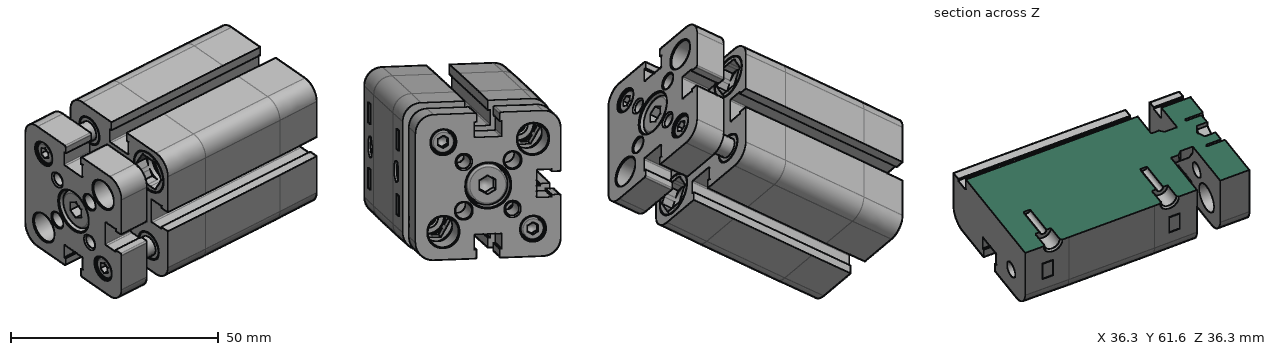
import cadquery as cq
import math


TOTAL_LENGTH = 61.6
PLATE_THICKNESS = 8.1
PLATE_GAP = 6.4
CAP_LENGTH = 11.8
BODY_FRONT = PLATE_THICKNESS + PLATE_GAP
FRONT_SEAM = BODY_FRONT + CAP_LENGTH
REAR_SEAM = TOTAL_LENGTH - CAP_LENGTH

BODY_SIDE = 36.3
BODY_CORNER_RADIUS = 4.55
CAP_DRAFT_ANGLE = 0.44
PLATE_SIDE = 35.65
PLATE_CORNER_RADIUS = 4.45

SLOT_MOUTH_WIDTH = 5.65
SLOT_WIDTH = 6.8
SLOT_FLOOR = 11.9
SLOT_LIP = 15.65
SLOT_FLOOR_RADIUS = 0.3
PLATE_MOUTH_RADIUS = 0.4
SLOT_ANGLES = (-90, 0, 90)

CORNER_SPACING = 22.0
CORNER_OFFSET = CORNER_SPACING / 2
ROD_CENTERS = [(-CORNER_OFFSET, CORNER_OFFSET), (CORNER_OFFSET, -CORNER_OFFSET)]
SCREW_CENTERS = [(CORNER_OFFSET, CORNER_OFFSET), (-CORNER_OFFSET, -CORNER_OFFSET)]
GUIDE_ROD_DIAMETER = 5.05
BUSHING_DIAMETER = 7.6

ACCESS_HOLE_DIAMETER = 7.5
ACCESS_MOUTH_DIAMETER = 8.0
SCREW_HEAD_DIAMETER = 11.1
SCREW_SOCKET_WIDTH = 8.0
SCREW_SOCKET_DEPTH = 3.1
SCREW_BORE_DEPTH = 4.55
SCREW_BORE_DIAMETER = 8.1
SCREW_BORE_FLOOR_DIAMETER = 7.8
SCREW_THROUGH_DIAMETER = 4.1
SCREW_MOUTH_DIAMETER = 5.2

GROOVE_WIDTH = 0.25
GROOVE_DEPTH = 0.5

PISTON_ROD_DIAMETER = 10.05
PISTON_ROD_END = 58.5
WRENCH_FLAT_WIDTH = 8.0
WRENCH_FLAT_LENGTH = 3.3
ROD_TIP_LENGTH = 1.0
ROD_TIP_STEP = 0.55

CENTER_SCREW = dict(
    recess=10.9,
    head=10.0,
    sink=0.75,
    rounding=0.55,
    socket_width=4.0,
    socket_depth=2.8,
)
GUIDE_SCREW = dict(
    recess=6.0,
    head=5.5,
    sink=0.3,
    rounding=0.3,
    socket_width=2.6,
    socket_depth=1.6,
)
SCREWS_IN_PLATE = [dict(CENTER_SCREW, center=(0, 0))] + [
    dict(GUIDE_SCREW, center=center) for center in ROD_CENTERS
]
RECESS_DEPTH = 4.9
RECESS_CHAMFER = 0.25
SOCKET_CONE_HEIGHT_RATIO = 0.3

MOUNT_SPACING = 11.95
MOUNT_OFFSET = MOUNT_SPACING / 2
THREAD_CENTERS = [(-MOUNT_OFFSET, MOUNT_OFFSET), (MOUNT_OFFSET, -MOUNT_OFFSET)]
PIN_CENTERS = [(MOUNT_OFFSET, MOUNT_OFFSET), (-MOUNT_OFFSET, -MOUNT_OFFSET)]
THREAD_DIAMETER = 3.3
THREAD_MOUTH_DIAMETER = 4.1
PIN_DIAMETER = 4.0
PIN_MOUTH_DIAMETER = 4.5

PORT_END_DISTANCE = 7.6
PORT_DIAMETER = 4.2
PORT_MOUTH_DIAMETER = 5.25
PORT_DEPTH = 4.9
PORT_FEED_DIAMETER = 1.7
LABEL_END_DISTANCE = 6.2
LABEL_OFFSET = 8.0
LABEL_LENGTH = 2.9
LABEL_HEIGHT = 4.9
LABEL_DEPTH = 0.2

ALONG_X = cq.Vector(1, 0, 0)
ALONG_Y = cq.Vector(0, 1, 0)


def plane_at(y):
    """XZ sketch plane at the given Y, with its normal toward +Y; its local X is reversed."""
    return cq.Workplane(cq.Plane(origin=(0, y, 0), xDir=(-1, 0, 0), normal=(0, 1, 0)))


def cone(center, y, length, front_diameter, back_diameter):
    """Round frustum along Y, starting at y and running toward +Y."""
    x, z = center
    start = cq.Vector(x, y, z)
    return cq.Workplane(
        cq.Solid.makeCone(front_diameter / 2, back_diameter / 2, length, start, ALONG_Y)
    )


def rod(center, y, length, diameter):
    """Cylinder along Y, starting at y and running toward +Y."""
    x, z = center
    return cq.Workplane(cq.Solid.makeCylinder(diameter / 2, length, cq.Vector(x, y, z), ALONG_Y))


def countersink(center, y, mouth_diameter, hole_diameter):
    """45 degree cone that opens a hole at the face Y = y."""
    return cone(center, y, (mouth_diameter - hole_diameter) / 2, mouth_diameter, hole_diameter)


def hexagon(center, y, length, width, first_angle):
    """Hexagonal prism along Y, given its width across flats."""
    x, z = center
    corner = width / 2 / math.cos(math.pi / 6)
    angles = [math.radians(first_angle + 60 * i) for i in range(6)]
    points = [(-x - corner * math.cos(a), z + corner * math.sin(a)) for a in angles]
    return plane_at(y).polyline(points).close().extrude(length)


def ring_groove(center, diameter):
    """Ring groove in the front face of the body, with a straight outer wall and a sloped inner one."""
    x, z = center
    radius = diameter / 2
    return (
        cq.Workplane("XY")
        .moveTo(radius - GROOVE_WIDTH, 0)
        .lineTo(radius, GROOVE_DEPTH)
        .lineTo(radius, 0)
        .close()
        .revolve(360, (0, 0, 0), (0, 1, 0))
        .translate((x, BODY_FRONT, z))
    )


def t_slot(y, length):
    """T-slot along Y, opening toward +X."""
    overlap = 0.6
    channel = (
        cq.Workplane("XY")
        .box(SLOT_LIP - SLOT_FLOOR, length, SLOT_WIDTH, centered=(False, False, True))
        .edges("|Y and <X")
        .fillet(SLOT_FLOOR_RADIUS)
        .translate((SLOT_FLOOR, y, 0))
    )
    mouth = cq.Workplane("XY").box(
        BODY_SIDE / 2 + overlap - SLOT_LIP, length, SLOT_MOUTH_WIDTH, centered=(False, False, True)
    )
    return channel.union(mouth.translate((SLOT_LIP, y, 0)))


def cut_slots(solid, y, length):
    for angle in SLOT_ANGLES:
        solid = solid.cut(t_slot(y, length).rotate((0, 0, 0), (0, 1, 0), angle))
    return solid


def body_blank():
    """Straight barrel between two caps that narrow slightly toward their ends."""
    barrel = (
        plane_at(FRONT_SEAM)
        .rect(BODY_SIDE, BODY_SIDE)
        .extrude(REAR_SEAM - FRONT_SEAM)
        .edges("|Y")
        .fillet(BODY_CORNER_RADIUS)
    )
    rear_cap = barrel.faces(">Y").wires().toPending().workplane().extrude(
        CAP_LENGTH, taper=CAP_DRAFT_ANGLE, combine=False
    )
    middle = (FRONT_SEAM + REAR_SEAM) / 2
    front_cap = rear_cap.translate((0, -middle, 0)).mirror("XZ").translate((0, middle, 0))
    return barrel.union(rear_cap).union(front_cap)


def assembly_screw_cut(center):
    """Hexagon socket over a round bore, with a through hole along the whole body."""
    bore_chamfer = (SCREW_BORE_DIAMETER - SCREW_BORE_FLOOR_DIAMETER) / 2
    bore_floor = BODY_FRONT + SCREW_BORE_DEPTH
    chamfer_start = bore_floor - bore_chamfer
    return (
        rod(center, BODY_FRONT, SCREW_BORE_DEPTH - bore_chamfer, SCREW_BORE_DIAMETER)
        .union(countersink(center, chamfer_start, SCREW_BORE_DIAMETER, SCREW_BORE_FLOOR_DIAMETER))
        .union(hexagon(center, BODY_FRONT, SCREW_SOCKET_DEPTH, SCREW_SOCKET_WIDTH, 0))
        .union(countersink(center, bore_floor, SCREW_MOUTH_DIAMETER, SCREW_THROUGH_DIAMETER))
        .union(rod(center, BODY_FRONT, TOTAL_LENGTH - BODY_FRONT, SCREW_THROUGH_DIAMETER))
    )


def port_cut(y):
    """Air port on the -X side, with a feed hole that reaches the piston rod."""
    mouth_depth = (PORT_MOUTH_DIAMETER - PORT_DIAMETER) / 2
    start = cq.Vector(-BODY_SIDE / 2, y, 0)
    mouth = cq.Solid.makeCone(PORT_MOUTH_DIAMETER / 2, PORT_DIAMETER / 2, mouth_depth, start, ALONG_X)
    thread = cq.Solid.makeCylinder(PORT_DIAMETER / 2, PORT_DEPTH, start, ALONG_X)
    feed = cq.Solid.makeCylinder(PORT_FEED_DIAMETER / 2, BODY_SIDE / 2, start, ALONG_X)
    return cq.Workplane(mouth).union(cq.Workplane(thread)).union(cq.Workplane(feed))


def label_cut(y, z):
    """Shallow rectangular panel on the -X side."""
    panel = cq.Workplane("XY").box(2 * LABEL_DEPTH, LABEL_LENGTH, LABEL_HEIGHT)
    return panel.translate((-BODY_SIDE / 2, y, z))


def body():
    solid = cut_slots(body_blank(), BODY_FRONT, TOTAL_LENGTH - BODY_FRONT)
    for center in SCREW_CENTERS:
        solid = solid.cut(assembly_screw_cut(center)).cut(ring_groove(center, SCREW_HEAD_DIAMETER))
    for center in ROD_CENTERS:
        solid = solid.cut(ring_groove(center, BUSHING_DIAMETER))
    for end, inward in ((BODY_FRONT, 1), (TOTAL_LENGTH, -1)):
        solid = solid.cut(port_cut(end + inward * PORT_END_DISTANCE))
        for z in (-LABEL_OFFSET, LABEL_OFFSET):
            solid = solid.cut(label_cut(end + inward * LABEL_END_DISTANCE, z))
    return solid


def piston_rod():
    """Rod with a tapered tip and two wrench flats that run out at 45 degrees."""
    tip_diameter = PISTON_ROD_DIAMETER - 2 * ROD_TIP_STEP
    tip_start = PLATE_THICKNESS + ROD_TIP_LENGTH
    solid = rod((0, 0), tip_start, PISTON_ROD_END - tip_start, PISTON_ROD_DIAMETER).union(
        cone((0, 0), PLATE_THICKNESS, ROD_TIP_LENGTH, tip_diameter, PISTON_ROD_DIAMETER)
    )
    flat_x = WRENCH_FLAT_WIDTH / 2
    flat_end = PLATE_THICKNESS + WRENCH_FLAT_LENGTH
    outer_x = PISTON_ROD_DIAMETER - flat_x
    runout = outer_x - flat_x
    for side in (-1, 1):
        relief = (
            cq.Workplane("XY")
            .moveTo(side * flat_x, PLATE_THICKNESS)
            .lineTo(side * flat_x, flat_end)
            .lineTo(side * outer_x, flat_end + runout)
            .lineTo(side * outer_x, PLATE_THICKNESS)
            .close()
            .extrude(PISTON_ROD_DIAMETER / 2, both=True)
        )
        solid = solid.cut(relief)
    return solid


def fit_socket_screw(solid, center, recess, head, sink, rounding, socket_width, socket_depth):
    """Add a recessed screw whose sunk head has a hexagon socket that ends in a cone."""
    tip = socket_width * SOCKET_CONE_HEIGHT_RATIO
    corner_diameter = socket_width / math.cos(math.pi / 6)
    head_solid = rod(center, sink, RECESS_DEPTH - sink, head).faces("<Y").edges().fillet(rounding)
    socket = (
        rod(center, sink, socket_depth, corner_diameter)
        .union(cone(center, sink + socket_depth, tip, corner_diameter, 0))
        .intersect(hexagon(center, sink, socket_depth + tip, socket_width, 30))
    )
    return (
        solid.cut(rod(center, 0, RECESS_DEPTH, recess))
        .cut(countersink(center, 0, recess + 2 * RECESS_CHAMFER, recess))
        .union(head_solid)
        .cut(socket)
    )


def plate():
    """Slotted guide plate with its mounting holes, access holes and socket screws."""
    solid = (
        plane_at(0)
        .rect(PLATE_SIDE, PLATE_SIDE)
        .extrude(PLATE_THICKNESS)
        .edges("|Y")
        .fillet(PLATE_CORNER_RADIUS)
    )
    solid = cut_slots(solid, 0, PLATE_THICKNESS)
    face = PLATE_SIDE / 2
    for edge in (-SLOT_MOUTH_WIDTH / 2, SLOT_MOUTH_WIDTH / 2):
        for x, z in ((edge, face), (edge, -face), (face, edge)):
            mouth_edge = cq.selectors.NearestToPointSelector((x, PLATE_THICKNESS / 2, z))
            solid = solid.edges(mouth_edge).fillet(PLATE_MOUTH_RADIUS)
    for centers, hole, mouth in (
        (THREAD_CENTERS, THREAD_DIAMETER, THREAD_MOUTH_DIAMETER),
        (SCREW_CENTERS, ACCESS_HOLE_DIAMETER, ACCESS_MOUTH_DIAMETER),
        (PIN_CENTERS, PIN_DIAMETER, PIN_MOUTH_DIAMETER),
    ):
        for center in centers:
            solid = solid.cut(rod(center, 0, PLATE_THICKNESS, hole))
            solid = solid.cut(countersink(center, 0, mouth, hole))
    for screw in SCREWS_IN_PLATE:
        solid = fit_socket_screw(solid, **screw)
    return solid


result = body().union(piston_rod()).union(plate())
for center in ROD_CENTERS:
    result = result.union(rod(center, PLATE_THICKNESS, PLATE_GAP, GUIDE_ROD_DIAMETER))